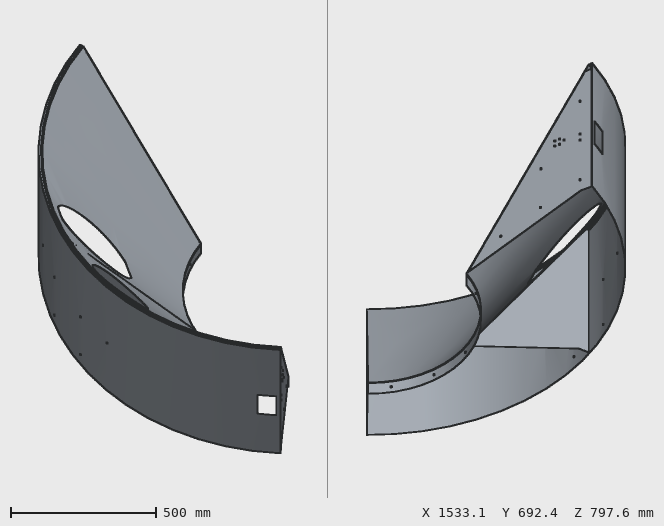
import cadquery as cq
import math

SECTOR_HALF_ANGLE = 60.0
SHEET = 1.5
DRILL_DIAMETER = 6.0

WALL_RADIUS = 885.14
WALL_INNER_RADIUS = WALL_RADIUS - SHEET
WALL_BOTTOM = 239.0
WALL_TOP = 797.56
WALL_HOLES_UPPER_Z = 496.0
WALL_HOLES_LOWER_Z = 292.0
WALL_HOLES_INNER_X = 99.0
WALL_HOLES_OUTER_X = 245.0

WINDOW_WIDTH = 64.0
WINDOW_HEIGHT = 102.0
WINDOW_Z = 495.0
WINDOW_ANGLE = 56.9
WINDOW_CUT_DEPTH = 40.0

RING_WIDTH = 7.0
RING_BOTTOM = WALL_TOP - SHEET

FLANGE_RADIUS = 387.0
FLANGE_HEIGHT = 48.0
FLANGE_HOLES_Z = 25.0
FLANGE_HOLE_COUNT = 5
FLANGE_HOLE_PITCH_ANGLE = 24.0

CONE_BOTTOM = 51.0
CONE_BOTTOM_RADIUS = 387.5
CONE_TOP_RADIUS = 872.0
CONE_SLOPE = math.atan2(WALL_TOP - CONE_BOTTOM, CONE_TOP_RADIUS - CONE_BOTTOM_RADIUS)
CONE_LEVEL_WIDTH = SHEET / math.sin(CONE_SLOPE)

VERTICAL_PIPE_DIAMETER = 193.0
VERTICAL_PIPE_X = 144.0
VERTICAL_PIPE_Y = -747.0
INCLINED_PIPE_DIAMETER = 198.0
INCLINED_PIPE_HEADING = -12.7
INCLINED_PIPE_ELEVATION = 31.7
INCLINED_PIPE_ANGLE = -10.1
INCLINED_PIPE_RADIUS = 723.5
INCLINED_PIPE_CUT_LENGTH = 400.0

RIB_BOTTOM = 56.0
RIB_FOOT_RADIUS = 840.0
RIB_WALL_CLEARANCE = 3.5
RIB_OUTER_RADIUS = WALL_INNER_RADIUS - RIB_WALL_CLEARANCE
END_RIB_TOP = 773.0
END_RIB_HOLES = [
    (836.0, 645.0),
    (836.0, 496.0),
    (836.0, 469.0),
    (836.0, 289.0),
    (681.0, 404.0),
    (679.0, 229.5),
    (522.0, 165.0),
    (773.0, 496.0),
    (736.0, 484.0),
    (736.0, 507.5),
    (755.0, 484.0),
    (755.0, 507.5),
]


def turned(shape, angle):
    """Turn a shape about the Z axis."""
    return shape.rotate((0, 0, 0), (0, 0, 1), angle)


def cone_outer_radius(height):
    return CONE_BOTTOM_RADIUS + (height - CONE_BOTTOM) / math.tan(CONE_SLOPE)


def sector(profile):
    """Revolve a profile through the whole sector."""
    solid = cq.Workplane("XZ").polyline(profile).close().revolve(2 * SECTOR_HALF_ANGLE, (0, 0), (0, 1))
    return turned(solid, -90 - SECTOR_HALF_ANGLE)


def sector_band(inner_radius, outer_radius, bottom, top):
    """Upright curved band with a rectangular profile."""
    return sector([(inner_radius, bottom), (outer_radius, bottom), (outer_radius, top), (inner_radius, top)])


def make_wall():
    wall = sector_band(WALL_INNER_RADIUS, WALL_RADIUS, WALL_BOTTOM, WALL_TOP)
    hole_places = []
    for side in (-1, 1):
        hole_places.append((side * WALL_HOLES_INNER_X, WALL_HOLES_LOWER_Z))
        hole_places.append((side * WALL_HOLES_INNER_X, WALL_HOLES_UPPER_Z))
        hole_places.append((side * WALL_HOLES_OUTER_X, WALL_HOLES_UPPER_Z))
    drills = cq.Workplane("XZ").pushPoints(hole_places).circle(DRILL_DIAMETER / 2).extrude(WALL_RADIUS)
    wall = wall.cut(drills)
    window = cq.Workplane("XY").box(WINDOW_WIDTH, WINDOW_CUT_DEPTH, WINDOW_HEIGHT)
    window = window.translate((0, -WALL_RADIUS, WINDOW_Z))
    for side in (-1, 1):
        wall = wall.cut(turned(window, side * WINDOW_ANGLE))
    return wall


def make_rim_ring():
    return sector_band(WALL_INNER_RADIUS - RING_WIDTH, WALL_INNER_RADIUS, RING_BOTTOM, WALL_TOP)


def make_flange():
    flange = sector_band(FLANGE_RADIUS - SHEET, FLANGE_RADIUS, 0, FLANGE_HEIGHT)
    drill = cq.Workplane("XZ").center(0, FLANGE_HOLES_Z).circle(DRILL_DIAMETER / 2).extrude(2 * FLANGE_RADIUS)
    for index in range(FLANGE_HOLE_COUNT):
        step = index - (FLANGE_HOLE_COUNT - 1) / 2
        flange = flange.cut(turned(drill, step * FLANGE_HOLE_PITCH_ANGLE))
    return flange


def make_cone():
    cone = sector(
        [
            (CONE_BOTTOM_RADIUS - CONE_LEVEL_WIDTH, CONE_BOTTOM),
            (CONE_BOTTOM_RADIUS, CONE_BOTTOM),
            (CONE_TOP_RADIUS, WALL_TOP),
            (CONE_TOP_RADIUS - CONE_LEVEL_WIDTH, WALL_TOP),
        ]
    )
    vertical_pipe = cq.Workplane("XY").center(VERTICAL_PIPE_X, VERTICAL_PIPE_Y)
    vertical_pipe = vertical_pipe.circle(VERTICAL_PIPE_DIAMETER / 2).extrude(WALL_TOP)
    crossing_height = CONE_BOTTOM + (INCLINED_PIPE_RADIUS - CONE_BOTTOM_RADIUS) * math.tan(CONE_SLOPE)
    inclined_pipe = (
        cq.Workplane("XZ")
        .circle(INCLINED_PIPE_DIAMETER / 2)
        .extrude(INCLINED_PIPE_CUT_LENGTH / 2, both=True)
        .rotate((0, 0, 0), (1, 0, 0), -INCLINED_PIPE_ELEVATION)
        .rotate((0, 0, 0), (0, 0, 1), INCLINED_PIPE_HEADING - INCLINED_PIPE_ANGLE)
        .translate((0, -INCLINED_PIPE_RADIUS, crossing_height))
    )
    return cone.cut(vertical_pipe).cut(turned(inclined_pipe, INCLINED_PIPE_ANGLE))


def make_rib(top):
    """Flat rib in the XZ plane, with the radius along X, centred on its thickness."""
    return (
        cq.Workplane("XZ")
        .moveTo(cone_outer_radius(RIB_BOTTOM), RIB_BOTTOM)
        .lineTo(RIB_FOOT_RADIUS, WALL_BOTTOM)
        .lineTo(RIB_OUTER_RADIUS, WALL_BOTTOM)
        .lineTo(RIB_OUTER_RADIUS, top)
        .lineTo(cone_outer_radius(top), top)
        .close()
        .extrude(SHEET / 2, both=True)
    )


def make_middle_rib():
    """Plain rib that reaches up to the rim ring."""
    return turned(make_rib(RING_BOTTOM), -90)


def make_end_rib(side):
    """Drilled rib whose outer face is flush with one end of the sector."""
    drills = cq.Workplane("XZ").pushPoints(END_RIB_HOLES).circle(DRILL_DIAMETER / 2).extrude(SHEET, both=True)
    rib = make_rib(END_RIB_TOP).cut(drills)
    return turned(rib.translate((0, -side * SHEET / 2, 0)), side * SECTOR_HALF_ANGLE - 90)


wall = make_wall()
rim_ring = make_rim_ring()
flange = make_flange()
cone = make_cone()
ribs = [make_end_rib(-1), make_middle_rib(), make_end_rib(1)]
result = cq.Compound.makeCompound(
    [wall.val(), rim_ring.val(), flange.val(), cone.val()] + [rib.val() for rib in ribs]
)